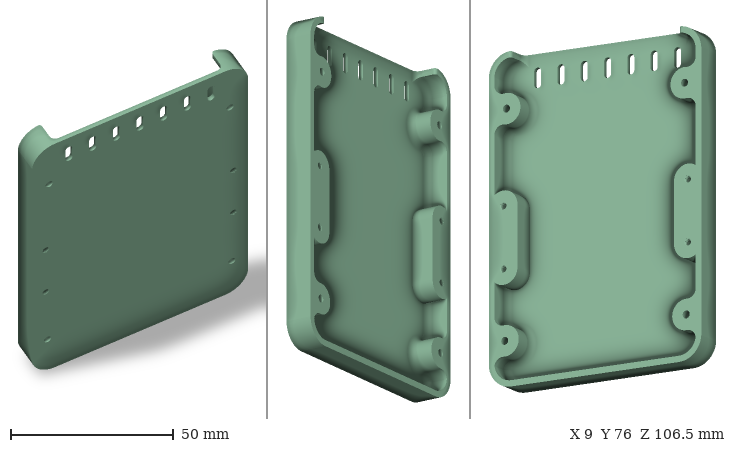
import cadquery as cq

THICKNESS = 9.0
WIDTH = 76.02
HEIGHT = 106.52
CORNER_RISE = 7.5
WALL = 2.0
FLOOR = 1.5
FLOOR_FILLET = 2.0

OPENING_LENGTH = 60.0
RIM_FILLET = 1.0

BOSS_MIDDLE_Y = -0.15
BOSS_CENTERS = [(31.85, 35.12), (32.45, -38.5)]
BOSS_RADIUS = 5.0
BOSS_BLEND = 3.0
BOSS_HOLE_DIAMETER = 2.5

RAIL_MIDDLE_Y = -0.25
RAIL_OFFSET = 33.0
RAIL_RADIUS = 5.0
RAIL_HOLE_SPACING = 20.0
RAIL_MIDDLE_Z = -5.68

THREAD_CREST_DIAMETER = 2.08
THREAD_ROOT_DIAMETER = 2.58
THREAD_PITCH = 0.45
THREAD_ROOT_WIDTH = 0.06
THREAD_MOUTH_WIDTH = 0.34
THREAD_OVERLAP = 0.05
THREAD_START_ANGLE = 45.0
THREAD_SLEEVE_RADIUS = 2.0

SLOT_COUNT = 7
SLOT_ROW_LENGTH = 50.0
SLOT_WIDTH = 2.5
SLOT_LENGTH = 6.5
SLOT_Z = 45.66

FRONT_X = -THICKNESS / 2
BACK_X = THICKNESS / 2
DEPTH = THICKNESS - FLOOR
SIDES = (-1, 1)


def front_plane():
    """Sketch plane on the open side: local axes are Y and Z, extrusion runs toward +X."""
    return cq.Workplane("YZ", origin=(FRONT_X, 0, 0))


def outline():
    """Outer outline: corner arcs are tangent to the top and bottom, across from the ends of the opening."""
    half_width = WIDTH / 2
    half_height = HEIGHT / 2
    flat_end = OPENING_LENGTH / 2
    corner_run = half_width - flat_end
    side_end = half_height - CORNER_RISE
    radius = (corner_run**2 + CORNER_RISE**2) / (2 * CORNER_RISE)
    return (
        front_plane()
        .moveTo(-flat_end, half_height)
        .lineTo(flat_end, half_height)
        .radiusArc((half_width, side_end), radius)
        .lineTo(half_width, -side_end)
        .radiusArc((flat_end, -half_height), radius)
        .lineTo(-flat_end, -half_height)
        .radiusArc((-half_width, -side_end), radius)
        .lineTo(-half_width, side_end)
        .radiusArc((-flat_end, half_height), radius)
        .close()
    )


def make_plate():
    return outline().extrude(THICKNESS)


def boss_points():
    return [(BOSS_MIDDLE_Y + side * y, z) for side in SIDES for y, z in BOSS_CENTERS]


def make_cavity():
    """Hollow of the tray: the outline inset by the wall, flowing around the bosses, filleted at the floor."""
    cavity = front_plane().rect(WIDTH - 2 * WALL, HEIGHT - 2 * WALL).extrude(DEPTH)
    bosses = front_plane().pushPoints(boss_points()).circle(BOSS_RADIUS).extrude(DEPTH)
    cavity = cavity.cut(bosses)
    for y, z in boss_points():
        near_boss = cq.selectors.BoxSelector(
            (FRONT_X, y - BOSS_RADIUS, z - BOSS_RADIUS),
            (BACK_X, y + BOSS_RADIUS, z + BOSS_RADIUS),
        )
        cavity = cavity.edges("|X").edges(near_boss).fillet(BOSS_BLEND)
    cavity = cavity.intersect(outline().offset2D(-WALL).extrude(DEPTH))
    return cavity.faces(">X").edges().fillet(FLOOR_FILLET)


def make_opening():
    """Gap in the top wall, filleted where its two ends meet the floor."""
    drop = WALL + 2 * FLOOR_FILLET
    return (
        front_plane()
        .center(0, HEIGHT / 2 - drop / 2)
        .rect(OPENING_LENGTH, drop)
        .extrude(DEPTH)
        .edges(">X and |Z")
        .fillet(FLOOR_FILLET)
    )


def make_rails(plate):
    """Full-depth rails with round ends, trimmed to the outline of the plate."""
    length = RAIL_HOLE_SPACING + 2 * RAIL_RADIUS
    centers = [(RAIL_MIDDLE_Y + side * RAIL_OFFSET, RAIL_MIDDLE_Z) for side in SIDES]
    rails = front_plane().pushPoints(centers).slot2D(length, 2 * RAIL_RADIUS, 90).extrude(THICKNESS)
    return rails.intersect(plate)


def make_boss_holes():
    return front_plane().pushPoints(boss_points()).circle(BOSS_HOLE_DIAMETER / 2).extrude(THICKNESS)


def make_thread_groove():
    """Helical groove along +Z, starting one pitch before the origin and ending one pitch past the plate."""
    crest_radius = THREAD_CREST_DIAMETER / 2
    root_radius = THREAD_ROOT_DIAMETER / 2
    helix = cq.Wire.makeHelix(THREAD_PITCH, THICKNESS + 2 * THREAD_PITCH, crest_radius)
    groove = (
        cq.Workplane("XZ")
        .moveTo(crest_radius - THREAD_OVERLAP, -THREAD_MOUTH_WIDTH / 2)
        .lineTo(crest_radius, -THREAD_MOUTH_WIDTH / 2)
        .lineTo(root_radius, -THREAD_ROOT_WIDTH / 2)
        .lineTo(root_radius, THREAD_ROOT_WIDTH / 2)
        .lineTo(crest_radius, THREAD_MOUTH_WIDTH / 2)
        .lineTo(crest_radius - THREAD_OVERLAP, THREAD_MOUTH_WIDTH / 2)
        .close()
        .sweep(cq.Workplane(helix), isFrenet=True)
    )
    return groove.translate((0, 0, -THREAD_PITCH))


def make_threaded_plug():
    """Negative of one threaded hole: what is left of a sleeve after taking out its threaded copy."""
    sleeve = cq.Workplane("XY").circle(THREAD_SLEEVE_RADIUS).extrude(THICKNESS)
    bore = cq.Workplane("XY").circle(THREAD_CREST_DIAMETER / 2).extrude(THICKNESS)
    groove = make_thread_groove().rotate((0, 0, 0), (0, 0, 1), THREAD_START_ANGLE)
    threaded_sleeve = sleeve.cut(bore).cut(groove)
    return sleeve.cut(threaded_sleeve)


def cut_rail_holes(tray):
    """Take a threaded plug out of each end of both rails, running from the rim side to the back."""
    plug = make_threaded_plug().val()
    for side in SIDES:
        for end in SIDES:
            y = RAIL_MIDDLE_Y + side * RAIL_OFFSET
            z = RAIL_MIDDLE_Z + end * RAIL_HOLE_SPACING / 2
            plane = cq.Plane(origin=(FRONT_X, y, z), xDir=(0, 1, 0), normal=(1, 0, 0))
            tray = tray.cut(cq.Workplane(plug.moved(cq.Location(plane))))
    return tray


def make_vent_slots():
    pitch = SLOT_ROW_LENGTH / (SLOT_COUNT - 1)
    return (
        front_plane()
        .center(0, SLOT_Z)
        .rarray(pitch, 1, SLOT_COUNT, 1)
        .slot2D(SLOT_LENGTH, SLOT_WIDTH, 90)
        .extrude(THICKNESS)
    )


def round_opening_rim(tray):
    """Round the rim edges at both ends of the opening."""
    return tray.edges("<X").edges("|Z").edges(">Z").fillet(RIM_FILLET)


plate = make_plate()
tray = plate.cut(make_cavity()).cut(make_opening())
tray = round_opening_rim(tray)
tray = tray.union(make_rails(plate))
tray = tray.cut(make_boss_holes()).cut(make_vent_slots())
result = cut_rail_holes(tray)